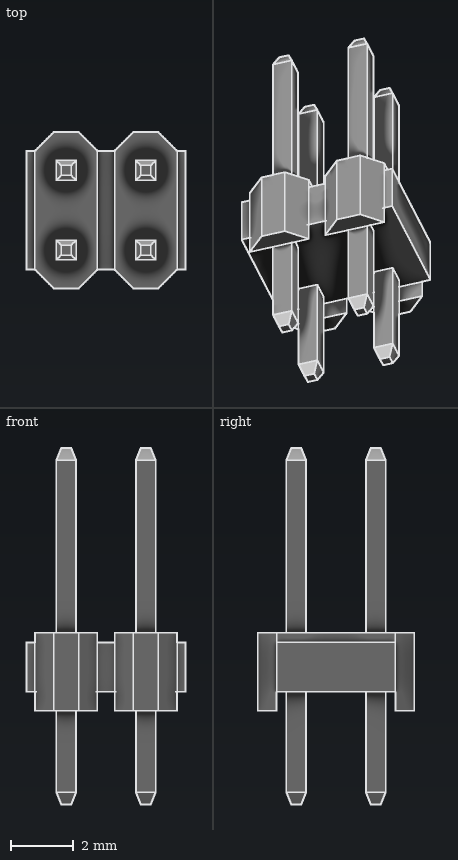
import cadquery as cq

pitch = 2.54
columns = 2
rows = 2
total_height = 11.4

pin_width = 0.64
pin_tip_width = 0.32
pin_taper_height = 0.4

block_bottom = 3.0
block_height = 2.5
block_width = 2.0
block_length = 5.0
block_chamfer = 0.6

web_bottom = 3.6
web_height = 1.58
web_length = block_length - 2 * block_chamfer
web_width = columns * pitch


def centered_positions(count):
    """Places along one axis, one pitch apart and centered on zero."""
    return [(i - (count - 1) / 2) * pitch for i in range(count)]


def make_block(x):
    """Block with chamfered vertical edges, bridged over a channel along X underneath."""
    block = (
        cq.Workplane("XY", origin=(x, 0, block_bottom))
        .rect(block_width, block_length)
        .extrude(block_height)
        .edges("|Z")
        .chamfer(block_chamfer)
    )
    channel = (
        cq.Workplane("XY", origin=(x, 0, block_bottom))
        .rect(block_width, web_length)
        .extrude(web_bottom - block_bottom)
    )
    return block.cut(channel)


def make_web():
    """Straight bar above the channel, reaching past the outer blocks along X."""
    return (
        cq.Workplane("XY", origin=(0, 0, web_bottom))
        .rect(web_width, web_length)
        .extrude(web_height)
    )


def make_pin(x, y):
    """Full-height square pin with a blunt pyramid at each end."""
    shaft = (
        cq.Workplane("XY", origin=(x, y, pin_taper_height))
        .rect(pin_width, pin_width)
        .extrude(total_height - 2 * pin_taper_height)
    )
    bottom_tip = (
        cq.Workplane("XY", origin=(x, y, 0))
        .rect(pin_tip_width, pin_tip_width)
        .workplane(offset=pin_taper_height)
        .rect(pin_width, pin_width)
        .loft(ruled=True)
    )
    top_tip = bottom_tip.mirror("XY", (0, 0, total_height / 2))
    return shaft.union(bottom_tip).union(top_tip)


result = make_web()
for x in centered_positions(columns):
    result = result.union(make_block(x))
for x in centered_positions(columns):
    for y in centered_positions(rows):
        result = result.union(make_pin(x, y))